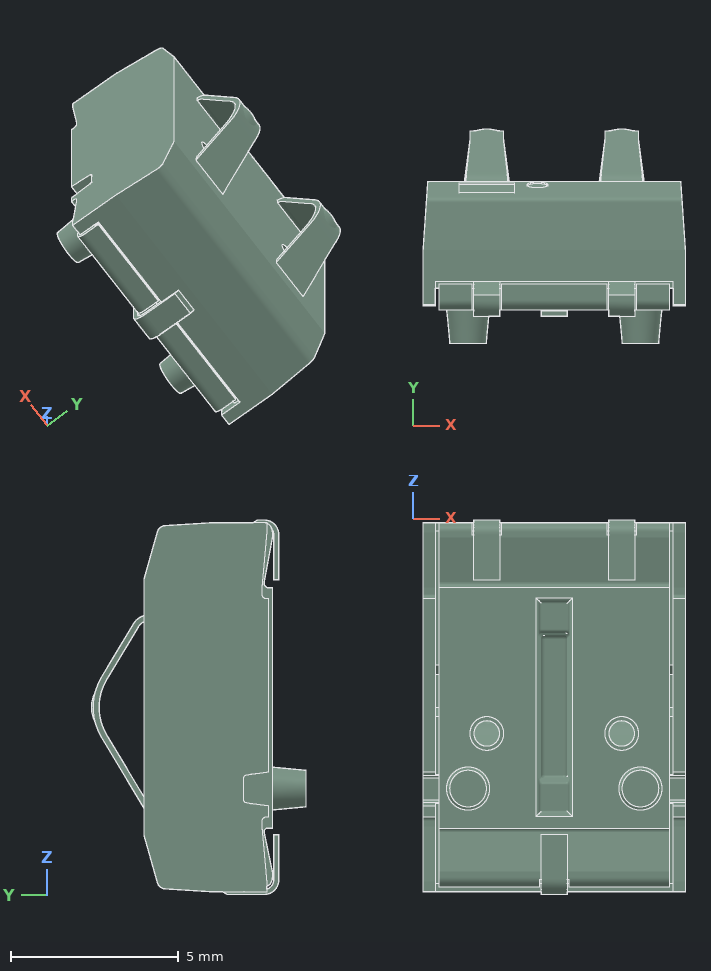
import cadquery as cq
import math


width = 7.82
half_width = width / 2
half_height = 5.5
back_y = 1.63
parting_y = -0.42
wall_front_y = -2.07
back_half_width = 3.77
back_half_height = 3.82
shoulder_y = 1.18
shoulder_half_height = 5.4
shoulder_radius = 0.26

recess_half_width = 3.53
recess_floor_y = -1.55
end_gap_y = -1.35
end_gap_z = 5.24

wall_step_y = -1.88
wall_end_y = -2.03
wall_ramp_start_z = 3.56
wall_ramp_end_z = 5.2
wall_upper_step_z = 3.23
wall_lower_step_z = -3.27
wall_step_radius = 0.12

plate_half_width = 3.43
plate_front_y = -2.2
plate_back_y = -1.43
plate_step_y = -1.95
plate_ramp_z = 3.71
plate_upper_step_z = 3.56
plate_lower_step_z = -3.6
plate_upper_step_radius = 0.13
plate_lower_step_radius = 0.1
lower_lip_center_z = -5.07
lip_radius = 0.28
lip_flat = 0.18

notch_center_z = -2.43
notch_mouth_height = 1
notch_bend_height = 0.87
notch_bend_y = -1.56
notch_base_height = 0.8
notch_base_y = -1.37
notch_floor_y = -1.33
notch_chamfer = 0.08

catch_top_z = 1.26
catch_bottom_z = -0.28
catch_depth = 0.33
catch_slope = 0.28

slot_half_width = 0.55
slot_half_height = 3.26
slot_depth = 1.12
slot_floor_radius = 0.1
channel_half_height = 2.3
channel_depth = 2.12
channel_floor_radius = 0.12
channel_rim_radius = 0.11
slot_draft = 4.5

hole_x = 2.01
hole_z = -0.78
counterbore_radius = 0.5
counterbore_depth = 1.12
hole_radius = 0.38
peg_x = 2.56
peg_z = -2.42
peg_base_radius = 0.65
peg_tip_radius = 0.55
peg_tip_y = -3.195
peg_sink = 0.06
peg_root_y = plate_front_y + peg_sink

strip = 0.16
clip_width = 0.78
clip_front_y = -2.39
clip_bend_radius = 0.43
clip_outer_z = 5.58
clip_clearance = 0.05
clip_passage_z = 5.13
clip_end_z = 3.79
clip_root_drop = 0.25
clip_root_angle = math.radians(30)
upper_clip_x = 2.01
upper_clip_flat_y = -1.75
lower_clip_flat_y = -0.85

spring_x = hole_x
spring_tip_y = 3.139
spring_radius = 1.78
spring_strip = 0.18
spring_angle = math.radians(31)
spring_top_z = 2.75
spring_bend_radius = 0.56
spring_root_depth = 0.22
spring_tip_half_width = 0.5
spring_upper_half_width = 0.62
spring_lower_half_width = 0.74
dimple_height = 0.06
dimple_radius = 1

mark_depth = 0.05
panel_x = -2.01
panel_offset = 0.15
panel_half_width = 0.83
panel_half_height = 0.51
dot_x = -0.5
dot_offset = 0.45
dot_radius = 0.31

pick_reach = 0.01


def block(x_min, x_max, y_min, y_max, z_min, z_max):
    size = (x_max - x_min, y_max - y_min, z_max - z_min)
    return cq.Workplane("XY").box(*size, centered=False).translate((x_min, y_min, z_min))


def extrude_across(profile, half_length, center_x=0):
    """Extrude a closed YZ profile symmetrically along X."""
    return profile.extrude(half_length, both=True).translate((center_x, 0, 0))


def round_x_edge(solid, y, z, radius):
    """Round the X-direction edges that run through one (Y, Z) point."""
    corner = cq.selectors.BoxSelector(
        (-width, y - pick_reach, z - pick_reach), (width, y + pick_reach, z + pick_reach)
    )
    return solid.edges("|X").edges(corner).fillet(radius)


def cylinder_along_y(x, z, y_min, y_max, radius):
    origin = cq.Vector(x, y_min, z)
    return cq.Workplane(cq.Solid.makeCylinder(radius, y_max - y_min, origin, cq.Vector(0, 1, 0)))


def make_housing():
    outline = [
        (wall_front_y, wall_lower_step_z),
        (wall_step_y, wall_lower_step_z),
        (wall_step_y, -wall_ramp_start_z),
        (wall_end_y, -wall_ramp_end_z),
        (wall_end_y, -half_height),
        (parting_y, -half_height),
        (shoulder_y, -shoulder_half_height),
        (back_y, -back_half_height),
        (back_y, back_half_height),
        (shoulder_y, shoulder_half_height),
        (parting_y, half_height),
        (wall_end_y, half_height),
        (wall_end_y, wall_ramp_end_z),
        (wall_step_y, wall_ramp_start_z),
        (wall_step_y, wall_upper_step_z),
        (wall_front_y, wall_upper_step_z),
    ]
    housing = extrude_across(cq.Workplane("YZ").polyline(outline).close(), half_width)
    for side in (-1, 1):
        housing = round_x_edge(housing, shoulder_y, side * shoulder_half_height, shoulder_radius)
    housing = round_x_edge(housing, wall_step_y, wall_upper_step_z, wall_step_radius)
    housing = round_x_edge(housing, wall_step_y, wall_lower_step_z, wall_step_radius)

    plan = [
        (-half_width, wall_front_y),
        (half_width, wall_front_y),
        (half_width, parting_y),
        (back_half_width, back_y),
        (-back_half_width, back_y),
        (-half_width, parting_y),
    ]
    envelope = cq.Workplane("XY").polyline(plan).close().extrude(half_height, both=True)
    housing = housing.intersect(envelope)

    recess = block(
        -recess_half_width, recess_half_width,
        wall_front_y, recess_floor_y,
        -half_height, half_height,
    )
    housing = housing.cut(recess)
    for z_min in (-half_height, end_gap_z):
        z_max = z_min + half_height - end_gap_z
        gap = block(-recess_half_width, recess_half_width, wall_front_y, end_gap_y, z_min, z_max)
        housing = housing.cut(gap)
    return housing


def make_snap_notches():
    mouth = notch_mouth_height / 2
    bend = notch_bend_height / 2
    base = notch_base_height / 2
    outline = [
        (wall_front_y, notch_center_z + mouth),
        (notch_bend_y, notch_center_z + bend),
        (notch_base_y, notch_center_z + base),
        (notch_floor_y, notch_center_z + base - notch_chamfer),
        (notch_floor_y, notch_center_z - base + notch_chamfer),
        (notch_base_y, notch_center_z - base),
        (notch_bend_y, notch_center_z - bend),
        (wall_front_y, notch_center_z - mouth),
    ]
    profile = cq.Workplane("YZ").polyline(outline).close()
    notch_length = half_width - plate_half_width
    center_x = plate_half_width + notch_length / 2
    notch = extrude_across(profile, notch_length / 2, center_x)
    return notch.union(notch.mirror("YZ"))


def make_catch_recesses():
    outline = [
        (recess_floor_y, catch_top_z),
        (recess_floor_y + catch_depth, catch_top_z - catch_slope),
        (recess_floor_y + catch_depth, catch_bottom_z + catch_slope),
        (recess_floor_y, catch_bottom_z),
    ]
    profile = cq.Workplane("YZ").polyline(outline).close()
    gap = recess_half_width - plate_half_width
    recess = extrude_across(profile, gap / 2, plate_half_width + gap / 2)
    return recess.union(recess.mirror("YZ"))


def make_plate():
    diagonal = lip_radius * math.sqrt(0.5)
    upper_center_z = half_height - lip_radius
    center_y = plate_front_y + lip_radius
    profile = (
        cq.Workplane("YZ")
        .moveTo(plate_back_y, upper_center_z + lip_radius)
        .lineTo(center_y, upper_center_z + lip_radius)
        .threePointArc(
            (center_y - diagonal, upper_center_z + diagonal),
            (plate_front_y, upper_center_z),
        )
        .lineTo(plate_front_y, upper_center_z - lip_flat)
        .lineTo(plate_step_y, plate_ramp_z)
        .lineTo(plate_step_y, plate_upper_step_z)
        .lineTo(plate_front_y, plate_upper_step_z)
        .lineTo(plate_front_y, plate_lower_step_z)
        .lineTo(plate_step_y, plate_lower_step_z)
        .lineTo(plate_step_y, -plate_ramp_z)
        .lineTo(plate_front_y, lower_lip_center_z + lip_flat)
        .lineTo(plate_front_y, lower_lip_center_z)
        .threePointArc(
            (center_y - diagonal, lower_lip_center_z - diagonal),
            (center_y, lower_lip_center_z - lip_radius),
        )
        .lineTo(plate_back_y, lower_lip_center_z - lip_radius)
        .close()
    )
    plate = extrude_across(profile, plate_half_width)
    plate = round_x_edge(plate, plate_step_y, plate_upper_step_z, plate_upper_step_radius)
    plate = round_x_edge(plate, plate_step_y, plate_lower_step_z, plate_lower_step_radius)

    cut_half_width = clip_width / 2 + clip_clearance
    for center_x, z_min, z_max in (
        (-upper_clip_x, clip_passage_z, half_height),
        (upper_clip_x, clip_passage_z, half_height),
        (0, -half_height, -clip_passage_z),
    ):
        passage = block(
            center_x - cut_half_width, center_x + cut_half_width,
            plate_front_y, plate_back_y,
            z_min, z_max,
        )
        plate = plate.cut(passage)
    return plate


def make_slot():
    draft = math.tan(math.radians(slot_draft))
    end_floor_y = plate_front_y + slot_depth
    channel_floor_y = plate_front_y + channel_depth
    upper_half = [
        (channel_floor_y, channel_half_height - channel_depth * draft),
        (end_floor_y, channel_half_height - slot_depth * draft),
        (end_floor_y, slot_half_height - slot_depth * draft),
        (plate_front_y, slot_half_height),
    ]
    lower_half = [(y, -z) for y, z in reversed(upper_half)]
    long_section = cq.Workplane("YZ").polyline(upper_half + lower_half).close()
    slot = extrude_across(long_section, slot_half_width)

    floor_half_width = slot_half_width - channel_depth * draft
    cross_section = (
        cq.Workplane("XY")
        .polyline([
            (-slot_half_width, plate_front_y),
            (slot_half_width, plate_front_y),
            (floor_half_width, channel_floor_y),
            (-floor_half_width, channel_floor_y),
        ])
        .close()
        .extrude(slot_half_height, both=True)
    )
    slot = slot.intersect(cross_section)

    slot = slot.faces(">Y").edges().fillet(channel_floor_radius)
    rim_y, rim_z = upper_half[1]
    for side in (-1, 1):
        slot = round_x_edge(slot, rim_y, side * rim_z, channel_rim_radius)

    end_floors = cq.selectors.BoxSelector(
        (-slot_half_width, end_floor_y - pick_reach, -slot_half_height),
        (slot_half_width, end_floor_y + pick_reach, slot_half_height),
    )
    return slot.edges(end_floors).fillet(slot_floor_radius)


def make_hole(x):
    counterbore_y = plate_front_y + counterbore_depth
    counterbore = cylinder_along_y(x, hole_z, plate_front_y, counterbore_y, counterbore_radius)
    through = cylinder_along_y(x, hole_z, counterbore_y, back_y, hole_radius)
    return counterbore.union(through)


def make_peg(x):
    root = cq.Vector(x, peg_root_y, peg_z)
    length = peg_root_y - peg_tip_y
    toward_front = cq.Vector(0, -1, 0)
    return cq.Workplane(
        cq.Solid.makeCone(peg_base_radius, peg_tip_radius, length, root, toward_front)
    )


def make_clip(center_x, flat_y):
    """Strip that runs up the front, bends over the top edge and dips into the housing."""
    inner_radius = clip_bend_radius - strip
    center_y = clip_front_y + clip_bend_radius
    center_z = clip_outer_z - clip_bend_radius
    outer_diagonal = clip_bend_radius * math.sqrt(0.5)
    inner_diagonal = inner_radius * math.sqrt(0.5)
    root_y = flat_y + clip_root_drop / math.tan(clip_root_angle)
    profile = (
        cq.Workplane("YZ")
        .moveTo(clip_front_y, clip_end_z)
        .lineTo(clip_front_y, center_z)
        .threePointArc(
            (center_y - outer_diagonal, center_z + outer_diagonal),
            (center_y, clip_outer_z),
        )
        .lineTo(flat_y, clip_outer_z)
        .lineTo(root_y, clip_outer_z - clip_root_drop)
        .lineTo(root_y, clip_outer_z - clip_root_drop - strip)
        .lineTo(flat_y, clip_outer_z - strip)
        .lineTo(center_y, clip_outer_z - strip)
        .threePointArc(
            (center_y - inner_diagonal, center_z + inner_diagonal),
            (clip_front_y + strip, center_z),
        )
        .lineTo(clip_front_y + strip, clip_end_z)
        .close()
    )
    return extrude_across(profile, clip_width / 2, center_x)


def make_spring(center_x):
    """Bowed strip standing on the back face, narrowest at its crest."""
    sine = math.sin(spring_angle)
    cosine = math.cos(spring_angle)
    arc_center_y = spring_tip_y - spring_radius
    root_y = back_y - spring_root_depth

    def lower_leg_root(radius):
        """End of the straight lower leg tangent to the crest arc of this radius."""
        tangent_y = arc_center_y + radius * cosine
        z = radius * sine + (tangent_y - root_y) * cosine / sine
        return (root_y, -z)

    def crest(radius, side):
        """End of the crest arc on the upper (1) or lower (-1) side."""
        return (arc_center_y + radius * cosine, side * radius * sine)

    inner_radius = spring_radius - spring_strip

    corner_outer = arc_center_y + (spring_radius - spring_top_z * sine) / cosine
    inner_top_z = spring_top_z - spring_strip
    corner_inner = arc_center_y + (inner_radius - inner_top_z * sine) / cosine
    profile = (
        cq.Workplane("YZ")
        .moveTo(root_y, spring_top_z)
        .lineTo(corner_outer, spring_top_z)
        .lineTo(*crest(spring_radius, 1))
        .threePointArc((spring_tip_y, 0), crest(spring_radius, -1))
        .lineTo(*lower_leg_root(spring_radius))
        .lineTo(*lower_leg_root(inner_radius))
        .lineTo(*crest(inner_radius, -1))
        .threePointArc((spring_tip_y - spring_strip, 0), crest(inner_radius, 1))
        .lineTo(corner_inner, inner_top_z)
        .lineTo(root_y, inner_top_z)
        .close()
    )
    spring = extrude_across(profile, spring_lower_half_width)
    spring = round_x_edge(spring, corner_outer, spring_top_z, spring_bend_radius)
    spring = round_x_edge(spring, corner_inner, inner_top_z, spring_bend_radius - spring_strip)

    crest_half_height = spring_radius * sine
    lower_z = -back_half_height
    right_edge = [
        (spring_lower_half_width, lower_z),
        (spring_tip_half_width, -crest_half_height),
        (spring_tip_half_width, crest_half_height),
        (spring_upper_half_width, spring_top_z),
    ]
    left_edge = [(-x, z) for x, z in reversed(right_edge)]
    outline = cq.Workplane("XZ").polyline(right_edge + left_edge).close().extrude(-spring_tip_y)
    spring = spring.intersect(outline)

    dome_y = spring_tip_y + dimple_height - dimple_radius
    dome = cq.Workplane("XY").sphere(dimple_radius).translate((0, dome_y, 0))
    hollow = dome.translate((0, -spring_strip, 0))
    crest_region = block(
        -spring_tip_half_width, spring_tip_half_width,
        spring_tip_y - spring_strip, spring_tip_y + dimple_height,
        -dimple_radius, dimple_radius,
    )
    spring = spring.union(dome.intersect(crest_region)).cut(hollow)
    return spring.translate((center_x, 0, 0))


def make_marks():
    """Panel and dot sunk into the slope between the back face and the upper shoulder."""
    rise = shoulder_half_height - back_half_height
    run = back_y - shoulder_y
    slope_plane = cq.Plane(
        origin=(0, (back_y + shoulder_y) / 2, (back_half_height + shoulder_half_height) / 2),
        xDir=(1, 0, 0),
        normal=(0, rise, run),
    )
    panel = (
        cq.Workplane(slope_plane)
        .center(panel_x, panel_offset)
        .rect(2 * panel_half_width, 2 * panel_half_height)
        .extrude(-mark_depth)
    )
    dot = cq.Workplane(slope_plane).center(dot_x, dot_offset).circle(dot_radius).extrude(-mark_depth)
    return panel.union(dot)


result = make_housing().cut(make_snap_notches()).cut(make_catch_recesses()).cut(make_marks())
result = result.union(make_plate()).cut(make_slot())

for side in (-1, 1):
    result = result.cut(make_hole(side * hole_x))
    result = result.union(make_peg(side * peg_x))
    result = result.union(make_clip(side * upper_clip_x, upper_clip_flat_y))
    result = result.union(make_spring(side * spring_x))

result = result.union(make_clip(0, lower_clip_flat_y).mirror("XY"))